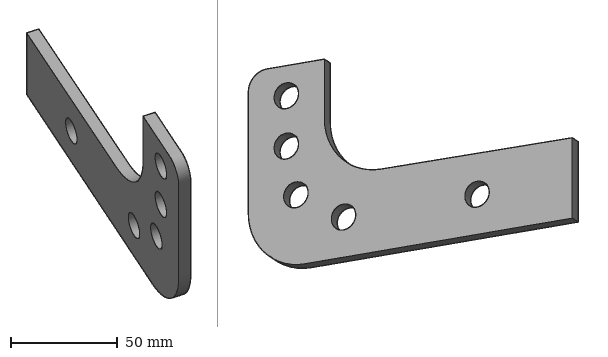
import cadquery as cq

length = 170.0
thickness = 6.3
height = 100.0

arm_width = 40.0
inner_edge_x = length - arm_width
top_edge_rise = 0.8

bend_radius = 30.0
tip_radius = 10.0

hole_diameter = 12.8
long_arm_hole_z = arm_width / 2
short_arm_hole_x = length - arm_width / 2
hole_centers = [
    (50.0, long_arm_hole_z),
    (120.0, long_arm_hole_z),
    (145.0, 35.0),
    (short_arm_hole_x, 60.0),
    (short_arm_hole_x, 85.0),
]


def make_plate():
    """L-shaped plate with sharp corners, from y = 0 to y = thickness."""
    outline = [
        (0, 0),
        (length, 0),
        (length, height),
        (inner_edge_x, height),
        (inner_edge_x, arm_width + top_edge_rise),
        (0, arm_width),
    ]
    return cq.Workplane("XZ").polyline(outline).close().extrude(-thickness)


def round_corner(body, x, z, radius):
    """Round the edge across the thickness nearest to (x, z)."""
    corner = cq.selectors.NearestToPointSelector((x, thickness / 2, z))
    return body.edges("|Y").edges(corner).fillet(radius)


def drill_holes(body):
    """Cut the plain holes through the thickness."""
    drills = cq.Workplane("XZ").pushPoints(hole_centers).circle(hole_diameter / 2).extrude(-thickness)
    return body.cut(drills)


plate = make_plate()
plate = round_corner(plate, length, 0, bend_radius)
plate = round_corner(plate, inner_edge_x, arm_width + top_edge_rise, bend_radius)
plate = round_corner(plate, length, height, tip_radius)
result = drill_holes(plate)